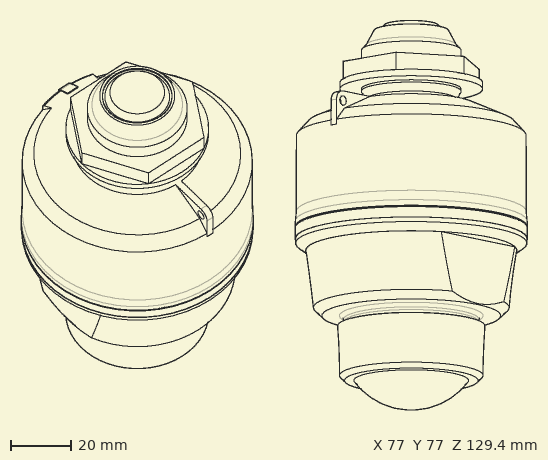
import cadquery as cq
import math

TOTAL_HEIGHT = 129.4
OUTER_DIAMETER = 77.0
FLANGE_RADIUS = OUTER_DIAMETER / 2

DOME_HEIGHT = 9.6
DOME_BASE_RADIUS = 19.0
TIP_CHAMFER_RADIUS = 22.1
TIP_CHAMFER_TOP_Z = 11.3
TIP_LOWER_RADIUS = 23.8
TIP_TOP_Z = 28.0
TIP_TOP_RADIUS = 24.5

NECK_WAIST_RADIUS = 22.5
NECK_FILLET = 1.3

LOWER_BODY_BOTTOM_Z = 31.5
LOWER_BODY_CHAMFER_RADIUS = 29.6
LOWER_BODY_CHAMFER_TOP_Z = 34.2
LOWER_BODY_BOTTOM_RADIUS = 32.5
LOWER_BODY_TOP_RADIUS = 35.0
FLAT_DISTANCE = 29.9

FLANGE_BOTTOM_Z = 53.5
FLANGE_CHAMFER_TOP_Z = 55.9
FLANGE_CHAMFER_RADIUS = 35.1
FLANGE_LIP_TOP_Z = 57.5
FLANGE_LIP_STEP = 0.1
GROOVE_Z = 61.2
GROOVE_HEIGHT = 0.4
GROOVE_DEPTH = 0.6
FLANGE_TAPER_BOTTOM_Z = 63.3
FLANGE_TAPER_TOP_Z = 66.5

BODY_RADIUS = 38.2
BODY_CHAMFER_BOTTOM_Z = 92.3
BODY_CHAMFER_TOP_Z = 96.5
ROOF_EDGE_RADIUS = 34.3
ROOF_TOP_Z = 102.2
ROOF_TOP_RADIUS = 21.7

STEM_RADIUS = 16.6
STEM_NECK_RADIUS = 15.0
STEM_NECK_TOP_Z = 104.5
STEM_FLARE_TOP_Z = 107.2
STEM_BEVEL_BOTTOM_Z = 121.0
STEM_BEVEL_TOP_Z = 122.7
SHOULDER_Z = 127.6
SHOULDER_RADIUS = 12.4
BUTTON_SLIT_RADIUS = 11.5
BUTTON_SLIT_DEPTH = 0.5
BUTTON_BASE_RADIUS = 10.7
BUTTON_TOP_RADIUS = 9.0

WASHER_BOTTOM_Z = 108.0
WASHER_RADIUS = 23.7
NUT_BOTTOM_Z = 110.1
NUT_TOP_Z = 116.0

LUG_THICKNESS = 2.5
LUG_OUTER_X = BODY_RADIUS
LUG_BOTTOM_Z = 90.6
LUG_HOLE_Z = 99.0
LUG_HOLE_RADIUS = 1.5

SECTOR_INNER_HALF_WIDTH = 10.0
SECTOR_OUTER_HALF_WIDTH = 10.6
ROOF_RIM_CHAMFER = 0.8
TAB_INNER_X = 33.8
TAB_HALF_WIDTH = 2.2
TAB_BOTTOM_Z = 92.0
TAB_RIM_Z = 94.6
TAB_BEND_X = 37.5
TAB_BEND_Z = 95.4
TAB_INNER_Z = 97.3

ROOF_SLOPE = (ROOF_TOP_Z - BODY_CHAMFER_TOP_Z) / (ROOF_EDGE_RADIUS - ROOF_TOP_RADIUS)


def revolve_profile(profile):
    """Turn a closed (radius, z) profile on the XZ plane about the Z axis."""
    return profile.close().revolve(360, (0, 0, 0), (0, 1, 0))


def make_sensing_tip():
    sphere_radius = (DOME_BASE_RADIUS**2 + DOME_HEIGHT**2) / (2 * DOME_HEIGHT)
    half_angle = math.asin(DOME_BASE_RADIUS / sphere_radius) / 2
    dome_middle = (
        sphere_radius * math.sin(half_angle),
        sphere_radius * (1 - math.cos(half_angle)),
    )
    fillet_offset = NECK_FILLET * (1 - math.sqrt(0.5))
    profile = (
        cq.Workplane("XZ")
        .moveTo(0, 0)
        .threePointArc(dome_middle, (DOME_BASE_RADIUS, DOME_HEIGHT))
        .lineTo(TIP_CHAMFER_RADIUS, DOME_HEIGHT)
        .lineTo(TIP_LOWER_RADIUS, TIP_CHAMFER_TOP_Z)
        .lineTo(TIP_TOP_RADIUS, TIP_TOP_Z)
        .lineTo(NECK_WAIST_RADIUS + NECK_FILLET, TIP_TOP_Z)
        .threePointArc(
            (NECK_WAIST_RADIUS + fillet_offset, TIP_TOP_Z + fillet_offset),
            (NECK_WAIST_RADIUS, TIP_TOP_Z + NECK_FILLET),
        )
        .lineTo(NECK_WAIST_RADIUS, LOWER_BODY_BOTTOM_Z - NECK_FILLET)
        .threePointArc(
            (NECK_WAIST_RADIUS + fillet_offset, LOWER_BODY_BOTTOM_Z - fillet_offset),
            (NECK_WAIST_RADIUS + NECK_FILLET, LOWER_BODY_BOTTOM_Z),
        )
        .lineTo(0, LOWER_BODY_BOTTOM_Z)
    )
    return revolve_profile(profile)


def make_lower_body():
    profile = cq.Workplane("XZ").polyline([
        (0, LOWER_BODY_BOTTOM_Z),
        (LOWER_BODY_CHAMFER_RADIUS, LOWER_BODY_BOTTOM_Z),
        (LOWER_BODY_BOTTOM_RADIUS, LOWER_BODY_CHAMFER_TOP_Z),
        (LOWER_BODY_TOP_RADIUS, FLANGE_BOTTOM_Z),
        (0, FLANGE_BOTTOM_Z),
    ])
    between_flats = cq.Workplane("XY").box(
        OUTER_DIAMETER, 2 * FLAT_DISTANCE, TOTAL_HEIGHT, centered=(True, True, False)
    )
    return revolve_profile(profile).intersect(between_flats)


def make_main_body():
    lip_radius = FLANGE_RADIUS - FLANGE_LIP_STEP
    ridge_z = ROOF_TOP_Z - ROOF_SLOPE * (BODY_RADIUS - ROOF_RIM_CHAMFER - ROOF_TOP_RADIUS)
    groove_radius = FLANGE_RADIUS - GROOVE_DEPTH
    groove_bottom_z = GROOVE_Z - GROOVE_HEIGHT / 2
    groove_top_z = GROOVE_Z + GROOVE_HEIGHT / 2
    profile = cq.Workplane("XZ").polyline([
        (0, FLANGE_BOTTOM_Z),
        (FLANGE_CHAMFER_RADIUS, FLANGE_BOTTOM_Z),
        (lip_radius, FLANGE_CHAMFER_TOP_Z),
        (lip_radius, FLANGE_LIP_TOP_Z),
        (FLANGE_RADIUS, FLANGE_LIP_TOP_Z),
        (FLANGE_RADIUS, groove_bottom_z),
        (groove_radius, groove_bottom_z),
        (groove_radius, groove_top_z),
        (FLANGE_RADIUS, groove_top_z),
        (FLANGE_RADIUS, FLANGE_TAPER_BOTTOM_Z),
        (BODY_RADIUS, FLANGE_TAPER_TOP_Z),
        (BODY_RADIUS, ridge_z - ROOF_RIM_CHAMFER),
        (BODY_RADIUS - ROOF_RIM_CHAMFER, ridge_z),
        (ROOF_TOP_RADIUS, ROOF_TOP_Z),
        (0, ROOF_TOP_Z),
    ])
    return revolve_profile(profile)


def make_stem():
    profile = cq.Workplane("XZ").polyline([
        (0, ROOF_TOP_Z),
        (STEM_NECK_RADIUS, ROOF_TOP_Z),
        (STEM_NECK_RADIUS, STEM_NECK_TOP_Z),
        (STEM_RADIUS, STEM_FLARE_TOP_Z),
        (STEM_RADIUS, STEM_BEVEL_BOTTOM_Z),
        (STEM_NECK_RADIUS, STEM_BEVEL_TOP_Z),
        (SHOULDER_RADIUS, SHOULDER_Z),
        (BUTTON_SLIT_RADIUS, SHOULDER_Z),
        (BUTTON_SLIT_RADIUS, SHOULDER_Z - BUTTON_SLIT_DEPTH),
        (BUTTON_BASE_RADIUS, SHOULDER_Z - BUTTON_SLIT_DEPTH),
        (BUTTON_TOP_RADIUS, TOTAL_HEIGHT),
        (0, TOTAL_HEIGHT),
    ])
    return revolve_profile(profile)


def make_washer_and_nut():
    washer = (
        cq.Workplane("XY", origin=(0, 0, WASHER_BOTTOM_Z))
        .circle(WASHER_RADIUS)
        .extrude(NUT_BOTTOM_Z - WASHER_BOTTOM_Z)
    )
    nut = (
        cq.Workplane("XY", origin=(0, 0, NUT_BOTTOM_Z))
        .polygon(6, 2 * WASHER_RADIUS)
        .extrude(NUT_TOP_Z - NUT_BOTTOM_Z)
        .rotate((0, 0, 0), (0, 0, 1), 30)
    )
    return washer.union(nut)


def make_lug():
    corner_radius = ROOF_TOP_Z - LUG_HOLE_Z
    diagonal = corner_radius * math.sqrt(0.5)
    plate = (
        cq.Workplane("XZ")
        .moveTo(0, LUG_BOTTOM_Z)
        .lineTo(LUG_OUTER_X, LUG_BOTTOM_Z)
        .lineTo(LUG_OUTER_X, LUG_HOLE_Z)
        .threePointArc(
            (LUG_OUTER_X - corner_radius + diagonal, LUG_HOLE_Z + diagonal),
            (LUG_OUTER_X - corner_radius, ROOF_TOP_Z),
        )
        .lineTo(0, ROOF_TOP_Z)
        .close()
        .extrude(LUG_THICKNESS / 2, both=True)
    )
    hole = (
        cq.Workplane("XZ")
        .center(LUG_OUTER_X - corner_radius, LUG_HOLE_Z)
        .circle(LUG_HOLE_RADIUS)
        .extrude(LUG_THICKNESS, both=True)
    )
    return plate.cut(hole)


def cut_roof_chamfer(body):
    """Bevel the roof rim all round except at the sector on the -X side."""
    chamfer_ring = revolve_profile(
        cq.Workplane("XZ").polyline([
            (ROOF_EDGE_RADIUS, BODY_CHAMFER_TOP_Z),
            (BODY_RADIUS, BODY_CHAMFER_BOTTOM_Z),
            (FLANGE_RADIUS, BODY_CHAMFER_BOTTOM_Z),
            (FLANGE_RADIUS, BODY_CHAMFER_TOP_Z),
        ])
    )
    inner_x = math.sqrt(ROOF_EDGE_RADIUS**2 - SECTOR_INNER_HALF_WIDTH**2)
    outer_x = math.sqrt(BODY_RADIUS**2 - SECTOR_OUTER_HALF_WIDTH**2)
    widening = (SECTOR_OUTER_HALF_WIDTH - SECTOR_INNER_HALF_WIDTH) / (outer_x - inner_x)
    start_x = ROOF_TOP_RADIUS
    end_x = OUTER_DIAMETER
    start_half_width = SECTOR_INNER_HALF_WIDTH - widening * (inner_x - start_x)
    end_half_width = SECTOR_OUTER_HALF_WIDTH + widening * (end_x - outer_x)
    sector = (
        cq.Workplane("XY")
        .polyline([
            (-start_x, start_half_width),
            (-end_x, end_half_width),
            (-end_x, -end_half_width),
            (-start_x, -start_half_width),
        ])
        .close()
        .extrude(TOTAL_HEIGHT)
    )
    return body.cut(chamfer_ring.cut(sector))


def make_tab():
    return (
        cq.Workplane("XZ")
        .polyline([
            (-ROOF_TOP_RADIUS, TAB_BOTTOM_Z),
            (-FLANGE_RADIUS, TAB_BOTTOM_Z),
            (-FLANGE_RADIUS, TAB_RIM_Z),
            (-TAB_BEND_X, TAB_BEND_Z),
            (-TAB_INNER_X, TAB_INNER_Z),
            (-TAB_INNER_X, BODY_CHAMFER_BOTTOM_Z),
            (-ROOF_TOP_RADIUS, BODY_CHAMFER_BOTTOM_Z),
        ])
        .close()
        .extrude(TAB_HALF_WIDTH, both=True)
    )


result = (
    cut_roof_chamfer(make_main_body())
    .union(make_lower_body())
    .union(make_sensing_tip())
    .union(make_stem())
    .union(make_washer_and_nut())
    .union(make_lug())
    .union(make_tab())
)